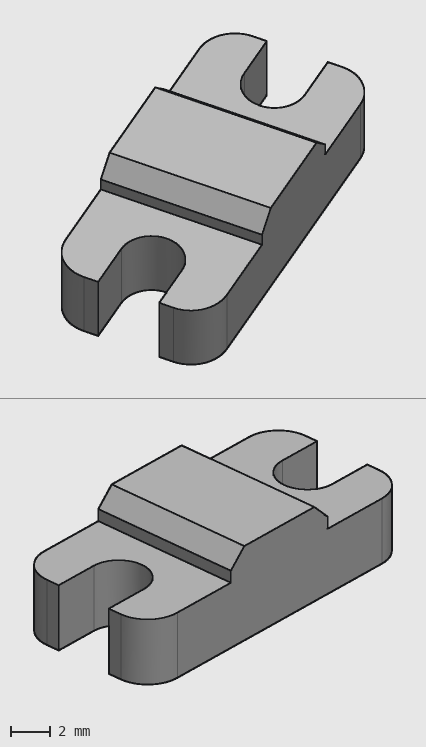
import cadquery as cq

width = 9.0
length = 19.2
height = 5.5
base_height = 3.8
corner_radius = 2.0

block_length = 7.2
block_chamfer = 1.0

slot_width = 3.4
slot_pitch = 14.0

slot_radius = slot_width / 2
slot_centre_y = slot_pitch / 2


def make_base():
    """Flat plate with rounded vertical corners."""
    plate = cq.Workplane("XY").box(width, length, base_height, centered=(True, True, False))
    return plate.edges("|Z").fillet(corner_radius)


def make_block():
    """Raised middle block, as wide as the plate, with its two long top edges chamfered."""
    block = cq.Workplane("XY").box(width, block_length, height, centered=(True, True, False))
    return block.faces(">Z").edges("|X").chamfer(block_chamfer)


def make_slot(side):
    """Open-ended screw slot cutter; side is +1 or -1 for the end of the plate along Y."""
    end_y = side * length / 2
    centre_y = side * slot_centre_y
    return (
        cq.Workplane("XY")
        .moveTo(-slot_radius, end_y)
        .lineTo(-slot_radius, centre_y)
        .threePointArc((0, centre_y - side * slot_radius), (slot_radius, centre_y))
        .lineTo(slot_radius, end_y)
        .close()
        .extrude(base_height)
    )


result = make_base().union(make_block())
for side in (1, -1):
    result = result.cut(make_slot(side))